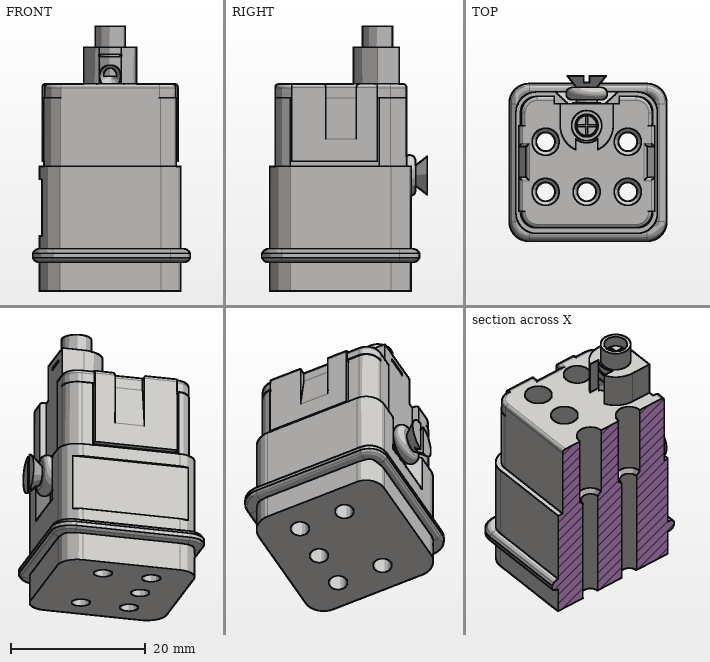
import cadquery as cq
import math

overall_height = 39.4
overall_depth = 24.62

lower_size = 21.05
lower_height = 18.55
lower_corner_radius = 3.05

seal_size = 23.5
seal_middle_z = 5.28
seal_section_radius = 1.02
seal_land_half_height = 0.3
seal_bevel_half_height = 0.7
seal_corner_radius = 3.0
seal_offset_x = 0.2
seal_offset_y = 0.05

label_depth = 0.35
label_bottom = 8.2
label_top = 16.63

upper_top = 30.8
upper_width = 19.7
upper_front = -9.7
upper_back = 9.85
upper_corner_radius = 2.4
upper_rounding = 0.55
rim_bottom = 28.75
rim_inset = 0.1

panel_reach = 10.1
panel_front = -7.2
panel_back = 5.48
panel_bottom = 19.3
panel_root = 7.88
panel_rounding = 0.5
panel_gap = 0.28
panel_gap_floor = 9.05
latch_width = 4.55
latch_center_y = 0.1
latch_bottom = 22.65
latch_depth = 1.05

contact_positions = [(-6.1, 3.1), (6.1, 3.1), (-6.1, -4.35), (0, -4.35), (6.1, -4.35)]
contact_radius = 2.0
bore_radius = 1.38
contact_depth = 11.82

tower_top = 36.3
tower_radius = 3.95
tower_center_y = 5.5
tower_back = 8.8
wire_slot_width = 3.3
tube_radius = 2.25
tube_bore_radius = 1.7
clamp_radius = 2.55
collar_bottom = 35.2
clamp_top = 34.85
clamp_screw_radius = 1.5
clamp_screw_top = 37.8
cross_length = 2.85
cross_width = 0.3
cross_depth = 0.4
wire_hole_z = 31.95
wire_mouth_radius = 1.65
wire_straight_depth = 0.35
wire_hole_depth = 2.95

notch_width = 9.6
pocket_mouth_width = 9.3
pocket_inner_width = 5.6
pocket_floor = 13.4
screw_z = 17.18
screw_tip_y = seal_offset_y - seal_size / 2 + overall_depth
plate_radius = 2.05
plate_thickness = 0.1
neck_radius = 1.55
washer_radius = 3.07
washer_near_y = 9.35
washer_thickness = 1.85
head_radius = 2.9
head_slot_width = 0.83
head_slot_depth = 1.0


def span_box(x0, x1, y0, y1, z0, z1):
    return cq.Workplane("XY").box(x1 - x0, y1 - y0, z1 - z0, centered=False).translate((x0, y0, z0))


def cylinder(radius, y, z0, z1):
    return cq.Workplane("XY", origin=(0, y, z0)).circle(radius).extrude(z1 - z0)


def make_lower_housing():
    body = cq.Workplane("XY").rect(lower_size, lower_size).extrude(lower_height)
    body = body.edges("|Z").fillet(lower_corner_radius)
    label_face = -lower_size / 2 + label_depth
    body = body.cut(span_box(-lower_size, label_face, -lower_size, lower_size, label_bottom, label_top))
    return body.union(make_seal())


def seal_section(x, y):
    """Round section in a YZ plane, flattened by a land and two bevels on its outer (+Y) side."""
    bevel_reach = math.sqrt(seal_section_radius**2 - seal_bevel_half_height**2)
    return (
        cq.Workplane("YZ", origin=(x, y, 0))
        .moveTo(bevel_reach, -seal_bevel_half_height)
        .lineTo(seal_section_radius, -seal_land_half_height)
        .lineTo(seal_section_radius, seal_land_half_height)
        .lineTo(bevel_reach, seal_bevel_half_height)
        .threePointArc((-seal_section_radius, 0), (bevel_reach, -seal_bevel_half_height))
        .close()
    )


def make_seal():
    """Seal section carried around a rounded square, one straight side and one corner per turn."""
    half_path = seal_size / 2 - seal_section_radius
    corner_center = seal_size / 2 - seal_corner_radius
    corner_path_radius = half_path - corner_center
    side = seal_section(0, half_path).extrude(corner_center, both=True)
    corner = seal_section(corner_center, half_path)
    corner = corner.revolve(90, (-corner_path_radius, 0.4), (-corner_path_radius, 0))
    quarter = side.union(corner)
    seal = quarter
    for angle in (90, 180, 270):
        seal = seal.union(quarter.rotate((0, 0, 0), (0, 0, 1), angle))
    return seal.translate((seal_offset_x, seal_offset_y, seal_middle_z))


def upper_block(width, z0, z1):
    block = span_box(-width / 2, width / 2, upper_front, upper_back, z0, z1)
    return block.edges("|Z").fillet(upper_corner_radius)


def make_upper_housing():
    rim = upper_block(upper_width - 2 * rim_inset, rim_bottom, upper_top)
    rim = rim.faces(">Z").edges().fillet(upper_rounding)
    return upper_block(upper_width, lower_height, rim_bottom).union(rim)


def both_sides(shape):
    return shape.union(shape.mirror("YZ"))


def panel_block():
    return span_box(panel_root, panel_reach, panel_front, panel_back, panel_bottom, upper_top)


def make_panel_seat():
    """Space for the +X panel, with a gap along its flanks and lower edge."""
    gap = span_box(
        panel_gap_floor, panel_reach,
        panel_front - panel_gap, panel_back + panel_gap,
        lower_height, rim_bottom,
    )
    return gap.union(panel_block())


def make_panel():
    """The +X panel, rounded along its top outer edge and around the latch pocket mouth."""
    panel = panel_block().cut(make_latch_pocket())
    return panel.faces(">Z").edges("not(<X or <Y or >Y)").fillet(panel_rounding)


def make_latch_pocket():
    inner = panel_reach - latch_depth
    profile = [
        (panel_reach, latch_bottom),
        (inner, rim_bottom),
        (inner, upper_top),
        (panel_reach, upper_top),
    ]
    start_y = latch_center_y + latch_width / 2
    return cq.Workplane("XZ", origin=(0, start_y, 0)).polyline(profile).close().extrude(latch_width)


def make_contact_cavity(x, y):
    cone_top = upper_top - contact_depth
    profile = [
        (0, 0),
        (bore_radius, 0),
        (bore_radius, cone_top - (contact_radius - bore_radius)),
        (contact_radius, cone_top),
        (contact_radius, upper_top),
        (0, upper_top),
    ]
    return cq.Workplane("XZ").polyline(profile).close().revolve().translate((x, y, 0))


def make_back_opening():
    """Notch in the upper housing over a funnel-shaped pocket with a sloping floor."""
    outer_y = lower_size / 2
    notch = span_box(-notch_width / 2, notch_width / 2, tower_back, outer_y, lower_height, upper_top)
    outline = [
        (-pocket_inner_width / 2, tower_back),
        (pocket_inner_width / 2, tower_back),
        (pocket_mouth_width / 2, outer_y),
        (-pocket_mouth_width / 2, outer_y),
    ]
    slope_drop = outer_y - tower_back
    floor_profile = [
        (tower_back, pocket_floor),
        (outer_y, pocket_floor - slope_drop),
        (outer_y, lower_height),
        (tower_back, lower_height),
    ]
    pocket = cq.Workplane("XY").polyline(outline).close().extrude(lower_height)
    chute = cq.Workplane("YZ").polyline(floor_profile).close().extrude(pocket_mouth_width / 2, both=True)
    return notch.union(pocket.intersect(chute))


def make_tower():
    """Slotted tower holding the wire clamp, with a collared tube for the clamp screw on top."""
    half_slot = wire_slot_width / 2
    tower = (
        cq.Workplane("XY", origin=(0, 0, upper_top))
        .moveTo(-tower_radius, tower_back)
        .lineTo(-tower_radius, tower_center_y)
        .threePointArc((0, tower_center_y - tower_radius), (tower_radius, tower_center_y))
        .lineTo(tower_radius, tower_back)
        .close()
        .extrude(tower_top - upper_top)
    )
    tower = tower.cut(span_box(-half_slot, half_slot, 0, tower_center_y, upper_top, tower_top))
    tower = tower.cut(span_box(-half_slot, half_slot, 0, tower_back, clamp_top, collar_bottom))
    tower = tower.union(cylinder(clamp_radius, tower_center_y, upper_top, clamp_top))
    tower = tower.union(cylinder(clamp_radius, tower_center_y, collar_bottom, tower_top))
    tower = tower.union(cylinder(tube_radius, tower_center_y, tower_top, overall_height))
    tower = tower.cut(make_wire_hole())
    tower = tower.cut(cylinder(tube_bore_radius, tower_center_y, tower_top, overall_height))
    return tower.union(make_clamp_screw())


def make_wire_hole():
    """Round hole with a conical end, entering the clamp from the -Y side."""
    mouth_y = tower_center_y - clamp_radius
    profile = [
        (0, mouth_y),
        (wire_mouth_radius, mouth_y),
        (wire_mouth_radius, mouth_y + wire_straight_depth),
        (0, mouth_y + wire_hole_depth),
    ]
    hole = cq.Workplane("XY").polyline(profile).close().revolve(360, (0, 0), (0, 1))
    return hole.translate((0, 0, wire_hole_z))


def make_clamp_screw():
    """Cross-slotted screw down the axis of the tube, ending halfway into the wire hole."""
    screw = cylinder(clamp_screw_radius, tower_center_y, wire_hole_z, clamp_screw_top)
    cross_center = (0, tower_center_y, clamp_screw_top - cross_depth / 2)
    for angle in (0, 90):
        groove = cq.Workplane("XY").box(cross_length, cross_width, cross_depth)
        screw = screw.cut(groove.rotate((0, 0, 0), (0, 0, 1), angle).translate(cross_center))
    return screw


def make_ground_screw():
    """Countersunk slotted screw with a round washer and a plate, pointing along Y."""
    washer_far_y = washer_near_y + washer_thickness
    washer_mid_y = washer_near_y + washer_thickness / 2
    washer_core = washer_radius - washer_thickness / 2
    plate_y = tower_back + plate_thickness
    screw = (
        cq.Workplane("XY")
        .moveTo(0, tower_back)
        .lineTo(plate_radius, tower_back)
        .lineTo(plate_radius, plate_y)
        .lineTo(neck_radius, plate_y)
        .lineTo(neck_radius, washer_near_y)
        .lineTo(washer_core, washer_near_y)
        .threePointArc((washer_radius, washer_mid_y), (washer_core, washer_far_y))
        .lineTo(neck_radius, washer_far_y)
        .lineTo(head_radius, screw_tip_y)
        .lineTo(0, screw_tip_y)
        .close()
        .revolve(360, (0, 0), (0, 1))
    )
    slot = span_box(
        -head_slot_width / 2, head_slot_width / 2,
        screw_tip_y - head_slot_depth, screw_tip_y,
        -head_radius, head_radius,
    )
    return screw.cut(slot).translate((0, 0, screw_z))


housing = make_lower_housing().union(make_upper_housing())
housing = housing.cut(both_sides(make_panel_seat())).union(both_sides(make_panel()))
result = housing.cut(make_back_opening())
for contact_x, contact_y in contact_positions:
    result = result.cut(make_contact_cavity(contact_x, contact_y))
result = result.union(make_tower()).union(make_ground_screw())